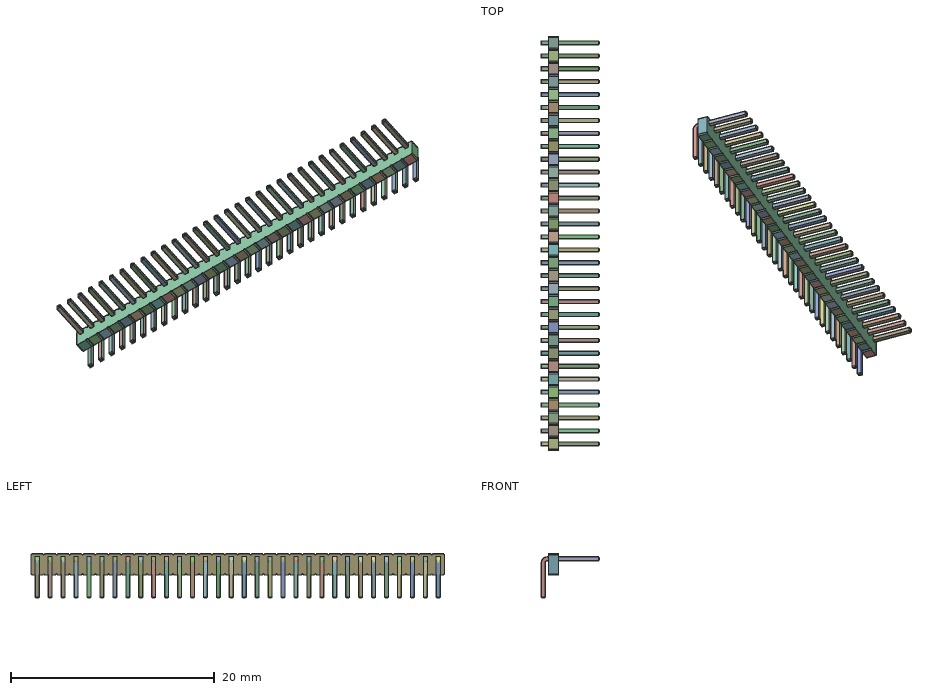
import cadquery as cq


pin_count = 32
pitch = 1.27

body_width = 1.0
body_height = 2.1
body_length = pin_count * pitch
body_chamfer = pitch / 10

pin_size = 0.4
pin_reach = 5.7
header_height = 4.35
pin_to_body_top = 0.3
leg_to_body = 0.7
bend_outer_radius = 0.6
bend_inner_radius = bend_outer_radius - pin_size
tip_chamfer = 0.1

leg_outer_x = -body_width / 2 - leg_to_body
leg_inner_x = leg_outer_x + pin_size
bend_end_x = leg_outer_x + bend_outer_radius
pin_top_z = body_height - pin_to_body_top
pin_bottom_z = pin_top_z - pin_size
bend_start_z = pin_top_z - bend_outer_radius
outer_tip_x = leg_outer_x + pin_reach
lower_tip_z = body_height - header_height


def make_body_segment(y):
    """One pitch of the body, with chamfers that form V-grooves between neighbours."""
    segment = cq.Workplane("XY").box(body_width, pitch, body_height, centered=(True, True, False))
    return segment.edges("|X").chamfer(body_chamfer).translate((0, y, 0))


def make_pin():
    """Square pin at Y = 0, bent from the vertical leg to the horizontal leg, with chamfered tips."""
    pin = (
        cq.Workplane("XZ")
        .moveTo(leg_outer_x, lower_tip_z)
        .lineTo(leg_outer_x, bend_start_z)
        .radiusArc((bend_end_x, pin_top_z), bend_outer_radius)
        .lineTo(outer_tip_x, pin_top_z)
        .lineTo(outer_tip_x, pin_bottom_z)
        .lineTo(bend_end_x, pin_bottom_z)
        .radiusArc((leg_inner_x, bend_start_z), -bend_inner_radius)
        .lineTo(leg_inner_x, lower_tip_z)
        .close()
        .extrude(pin_size / 2, both=True)
    )
    return pin.faces(">X or <Z").chamfer(tip_chamfer)


def make_header():
    """Body segments and pins joined along Y."""
    pin = make_pin()
    header = cq.Workplane("XY")
    for index in range(pin_count):
        y = (index + 0.5) * pitch - body_length / 2
        header.add(make_body_segment(y))
        header.add(pin.translate((0, y, 0)))
    return header.combine()


result = make_header()